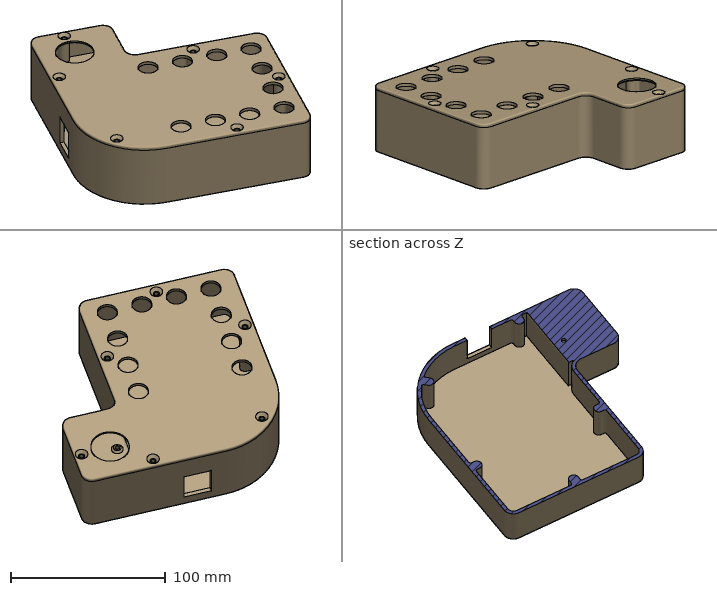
import cadquery as cq
import math

length_x = 143.5
length_y = 147.5
height = 44.5

arm_left = 38.8
foot_back = 55.3
corner_radius = 7.0
sweep_radius = 48.0

wall = 2.8
floor_thickness = 2.0
lid_thickness = 2.0
lid_edge_radius = 1.0
rim_z = height - lid_thickness

window_left = 67.1
window_bottom = 6.5
window_width = 18.5
window_height = 20.0

boss_radius = 7.0 / 2
boss_root_radius = 1.5
pilot_diameter = 2.8
pilot_depth = 14.8
clearance_diameter = 3.7
countersink_diameter = 8.1
countersink_angle = 90

left_setback = 4.9
front_setback = 5.8
arm_setback = 5.9
back_setback = 6.5
sweep_setback = 6.8

left_screw_y = 22.9
front_screw_x = 48.0
arm_screw_y = 97.6
back_screw_x = 90.9
sweep_screw_angle = -43.0

sweep_center_x = length_x - sweep_radius
sweep_center_y = sweep_radius
sweep_screw_reach = sweep_radius - sweep_setback
sweep_screw_x = sweep_center_x + sweep_screw_reach * math.cos(math.radians(sweep_screw_angle))
sweep_screw_y = sweep_center_y + sweep_screw_reach * math.sin(math.radians(sweep_screw_angle))

screws = [
    (left_setback, left_screw_y, 180, left_setback),
    (front_screw_x, front_setback, -90, front_setback),
    (sweep_screw_x, sweep_screw_y, sweep_screw_angle, sweep_setback),
    (length_x - arm_setback, arm_screw_y, 0, arm_setback),
    (arm_left + arm_setback, arm_screw_y, 180, arm_setback),
    (back_screw_x, length_y - back_setback, 90, back_setback),
]
screw_points = [(x, y) for x, y, _, _ in screws]

button_diameter = 13.0
button_pitch = 23.3
button_count = 4
button_left = 55.5
button_back = 133.5

stick_diameter = 25.0
stick_x = 24.3
stick_y = 23.7
stick_relief = 1.0

platform_right = 40.5
platform_top = 25.7
platform_edge_radius = 3.0
post_x = 32.7
post_y = 35.7
post_base_diameter = 7.7
post_top_diameter = 5.0
post_height = 1.5
post_hole_depth = 4.4


def l_prism(inset, bottom, top):
    """Prism of the rounded L outline, with every side moved inwards by inset."""
    left = inset
    right = length_x - inset
    front = inset
    back = length_y - inset
    arm = arm_left + inset
    foot = foot_back - inset
    outer_radius = corner_radius - inset
    corners = [
        (left, front, outer_radius),
        (right, front, sweep_radius - inset),
        (right, back, outer_radius),
        (arm, back, outer_radius),
        (arm, foot, corner_radius + inset),
        (left, foot, outer_radius),
    ]
    prism = (
        cq.Workplane("XY", origin=(0, 0, bottom))
        .polyline([(x, y) for x, y, _ in corners])
        .close()
        .extrude(top - bottom)
    )
    middle = (bottom + top) / 2
    for x, y, radius in corners:
        prism = prism.edges("|Z").edges(cq.NearestToPointSelector((x, y, middle))).fillet(radius)
    return prism


def screw_boss(x, y, direction, setback):
    """Round-nosed boss, joined to its wall by two hollow root fillets."""
    wall_face = setback - wall
    root_start = wall_face - boss_root_radius
    root_half_width = boss_radius + boss_root_radius
    anchor = wall_face + wall / 2
    bend = boss_root_radius * math.sqrt(0.5)
    bend_x = wall_face - boss_root_radius + bend
    bend_y = root_half_width - bend
    return (
        cq.Workplane("XY")
        .moveTo(0, boss_radius)
        .threePointArc((-boss_radius, 0), (0, -boss_radius))
        .lineTo(root_start, -boss_radius)
        .threePointArc((bend_x, -bend_y), (wall_face, -root_half_width))
        .lineTo(anchor, -root_half_width)
        .lineTo(anchor, root_half_width)
        .lineTo(wall_face, root_half_width)
        .threePointArc((bend_x, bend_y), (root_start, boss_radius))
        .close()
        .extrude(rim_z)
        .rotate((0, 0, 0), (0, 0, 1), direction)
        .translate((x, y, 0))
    )


def stick_platform():
    """Block that fills the foot up to the platform and has a rounded right edge."""
    embed = wall / 2
    block = cq.Workplane("XY").box(
        platform_right - embed, foot_back - 2 * embed, platform_top, centered=False
    )
    block = block.translate((embed, embed, 0)).edges(">X and >Z").fillet(platform_edge_radius)
    return block.intersect(l_prism(0, 0, rim_z))


def stick_post():
    return (
        cq.Workplane("XY", origin=(post_x, post_y, platform_top))
        .circle(post_base_diameter / 2)
        .workplane(offset=post_height)
        .circle(post_top_diameter / 2)
        .loft(ruled=True)
    )


def cylinders(points, diameter, bottom, top):
    return (
        cq.Workplane("XY", origin=(0, 0, bottom))
        .pushPoints(points)
        .circle(diameter / 2)
        .extrude(top - bottom)
    )


def window_cutter():
    return (
        cq.Workplane("XY")
        .box(window_width, 2 * wall, window_height, centered=(False, True, False))
        .translate((window_left, 0, window_bottom))
    )


def make_housing():
    body = l_prism(0, 0, rim_z).cut(l_prism(wall, floor_thickness, rim_z))
    for screw in screws:
        body = body.union(screw_boss(*screw))
    body = body.union(stick_platform()).union(stick_post())
    post_top = platform_top + post_height
    body = body.cut(cylinders(screw_points, pilot_diameter, rim_z - pilot_depth, rim_z))
    body = body.cut(cylinders([(post_x, post_y)], pilot_diameter, post_top - post_hole_depth, post_top))
    return body.cut(window_cutter())


def button_points():
    points = []
    for column in range(button_count):
        for row in range(button_count):
            if row == 0 or column in (0, button_count - 1):
                points.append((button_left + column * button_pitch, button_back - row * button_pitch))
    return points


def stick_relief_cutter():
    """Cone that opens the lower edge of the stick opening at 45 degrees."""
    radius = stick_diameter / 2
    return (
        cq.Workplane("XY", origin=(stick_x, stick_y, rim_z))
        .circle(radius + stick_relief)
        .workplane(offset=stick_relief)
        .circle(radius)
        .loft(ruled=True)
    )


def make_lid():
    plate = l_prism(0, rim_z, height).faces(">Z").edges().fillet(lid_edge_radius)
    plate = plate.cut(cylinders(button_points(), button_diameter, rim_z, height))
    plate = plate.cut(cylinders([(stick_x, stick_y)], stick_diameter, rim_z, height))
    plate = plate.cut(stick_relief_cutter())
    return (
        plate.faces(">Z")
        .workplane(origin=(0, 0, height))
        .pushPoints(screw_points)
        .cskHole(clearance_diameter, countersink_diameter, countersink_angle)
    )


housing = make_housing()
lid = make_lid()
result = cq.Compound.makeCompound([housing.val(), lid.val()])